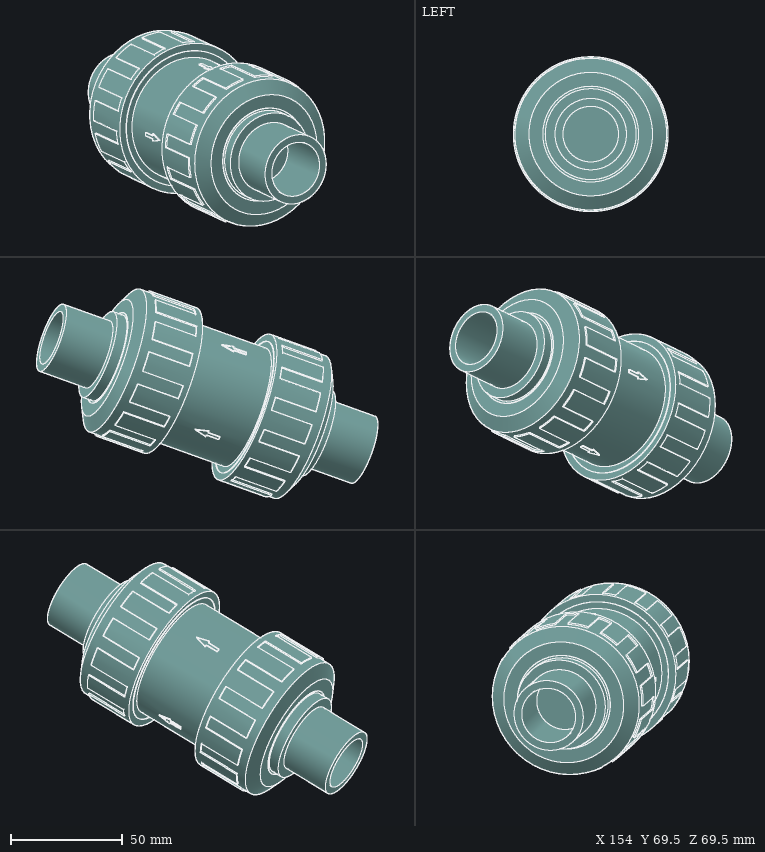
import cadquery as cq
import math

length = 154.0
pipe_diameter = 32.0
bore_diameter = 25.0
bore_depth = 27.5
collar_diameter = 40.8
collar_start = 23.0

nut_diameter = 69.5
nut_root_diameter = 68.0
nut_face_diameter = 55.5
nut_start = 27.5
nut_length = 31.1
nut_chamfer_length = 3.7
nut_rim_width = 3.0
face_hole_diameter = 43.0
back_hole_diameter = 62.5
recess_depth = 0.3

rib_count = 14
rib_length = 20.0
rib_pitch = 360.0 / rib_count
groove_width_angle = 0.4 * rib_pitch
groove_offset_angle = 0.3 * rib_pitch

body_diameter = 56.4
arrow_length = 12.0
arrow_shaft_length = 6.0
arrow_shaft_width = 1.5
arrow_head_width = 3.4
arrow_height = 0.5
arrow_count = 4

half_length = length / 2
nut_outer_x = -half_length + nut_start
nut_inner_x = nut_outer_x + nut_length
rim_x = nut_inner_x - nut_rim_width
rib_x = rim_x - rib_length


def cylinder(diameter, start_x, span):
    return cq.Workplane("YZ", origin=(start_x, 0, 0)).circle(diameter / 2).extrude(span)


def ring(outer_diameter, inner_diameter, start_x, span):
    profile = cq.Workplane("YZ", origin=(start_x, 0, 0))
    return profile.circle(outer_diameter / 2).circle(inner_diameter / 2).extrude(span)


def make_wedge(angle):
    """A radial wedge that clears the grip between two ribs, from the outer side up to the rim."""
    reach = nut_diameter
    half = math.radians(groove_width_angle / 2)
    wedge = (
        cq.Workplane("YZ", origin=(nut_outer_x, 0, 0))
        .polyline([(0, 0), (-reach, -reach * math.tan(half)), (-reach, reach * math.tan(half))])
        .close()
        .extrude(rim_x - nut_outer_x)
    )
    return wedge.rotate((0, 0, 0), (1, 0, 0), angle)


def make_nut():
    """The nut on the -X side: chamfered core, ribbed grip and a shallow recess in each end face."""
    core = (
        cylinder(nut_root_diameter, nut_outer_x, nut_length)
        .faces("<X")
        .chamfer(nut_chamfer_length, (nut_root_diameter - nut_face_diameter) / 2)
    )
    grip = ring(nut_diameter, body_diameter, rib_x, rib_length + nut_rim_width)
    for i in range(rib_count):
        grip = grip.cut(make_wedge(groove_offset_angle - i * rib_pitch))
    nut = core.union(grip)
    nut = nut.cut(ring(face_hole_diameter, collar_diameter, nut_outer_x, recess_depth))
    return nut.cut(ring(back_hole_diameter, body_diameter, nut_inner_x - recess_depth, recess_depth))


def make_arrow(angle):
    """A raised arrow pointing along +X, standing just proud of the body."""
    tail_x = -arrow_length / 2
    head_x = tail_x + arrow_shaft_length
    shaft = arrow_shaft_width / 2
    head = arrow_head_width / 2
    outline = [
        (tail_x, -shaft), (head_x, -shaft), (head_x, -head), (-tail_x, 0),
        (head_x, head), (head_x, shaft), (tail_x, shaft),
    ]
    arrow = cq.Workplane("XY").polyline(outline).close().extrude(body_diameter / 2 + arrow_height)
    return arrow.rotate((0, 0, 0), (1, 0, 0), angle)


result = cylinder(pipe_diameter, -half_length, length)
result = result.union(cylinder(collar_diameter, -half_length + collar_start, length - 2 * collar_start))
result = result.union(cylinder(body_diameter, rib_x, -2 * rib_x))

nut = make_nut()
result = result.union(nut).union(nut.rotate((0, 0, 0), (0, 0, 1), 180))

for i in range(arrow_count):
    result = result.union(make_arrow(i * 360.0 / arrow_count))

for start_x in (-half_length, half_length - bore_depth):
    result = result.cut(cylinder(bore_diameter, start_x, bore_depth))